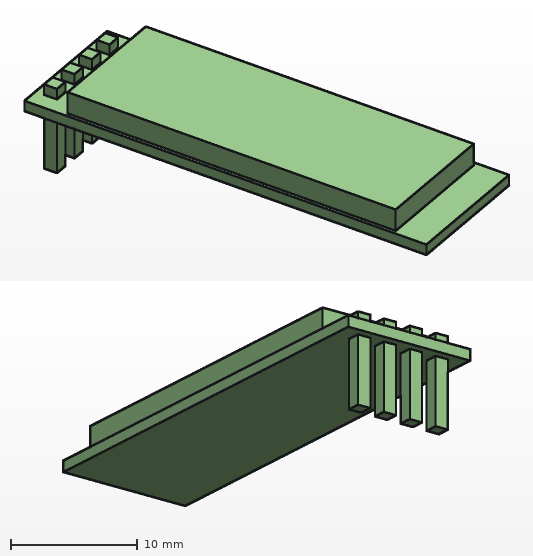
import cadquery as cq

board_length = 38.0
board_width = 12.0
board_thickness = 1.0

display_length = 31.0
display_width = 11.32
display_height = 2.0
display_end_gap = 3.88

pin_count = 4
pin_size = 1.2
pin_pitch = 2.55
pin_edge_distance = 1.45
pin_above_board = 1.0
pin_below_board = 6.0


def make_board():
    return cq.Workplane("XY").box(
        board_length, board_width, board_thickness, centered=(True, True, False)
    )


def make_display():
    center_x = -board_length / 2 + display_end_gap + display_length / 2
    return (
        cq.Workplane("XY", origin=(center_x, 0, board_thickness))
        .rect(display_length, display_width)
        .extrude(display_height)
    )


def make_pins():
    row_x = -board_length / 2 + pin_edge_distance
    pin_length = pin_below_board + board_thickness + pin_above_board
    return (
        cq.Workplane("XY", origin=(row_x, 0, -pin_below_board))
        .rarray(0.38, pin_pitch, 1, pin_count)
        .rect(pin_size, pin_size)
        .extrude(pin_length)
    )


result = make_board().union(make_display()).union(make_pins())